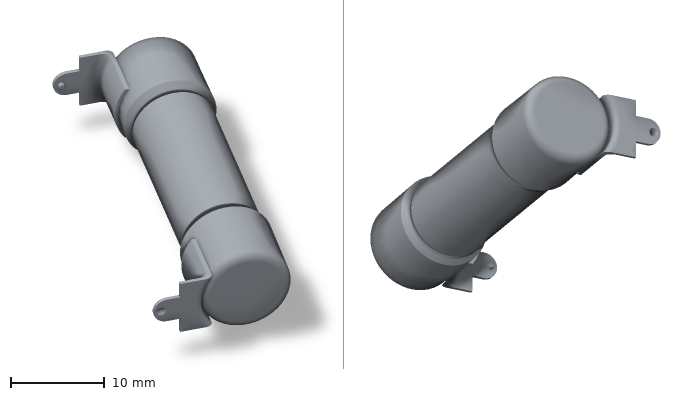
import cadquery as cq

overall_length = 39.32
overall_width = 15.7

sleeve_radius = 4.55
sleeve_half_length = 7.15
band_end = 9.55
neck_radius = 3.97
neck_fillet = 0.25

cap_inner_end = 10.1
cap_outer_end = 19.05
cap_large_radius = 10.25 / 2
cap_small_radius = 10.05 / 2
cap_inner_end_radius = 4.5
cap_chamfer_length = 0.75
cap_round = 0.95

sheet = 0.4
clip_outer_end = overall_length / 2
clip_inner_end = 12.9
clip_cradle_radius = 10.35 / 2
clip_half_width = 3.35
bend_convex_radius = 0.63
bend_concave_radius = 0.8
leg_shoulder = 7.63
tab_tip = overall_width - cap_large_radius
tab_radius = 1.5

dimple_distance = 9.7
dimple_mouth_radius = 0.5
dimple_floor_radius = 0.08
dimple_depth = 0.55
pip_base_radius = 0.4
pip_tip_radius = 0.25
pip_height = 0.35


def on_left(station):
    """X coordinate of a station on the -X half of the part."""
    return -station


def revolve_about_x(profile, angle=360):
    """Turn a closed XY profile about the X axis."""
    return profile.close().revolve(angle, (0, 0, 0), (1, 0, 0))


def make_sleeve():
    return (
        cq.Workplane("YZ")
        .workplane(offset=-sleeve_half_length)
        .circle(sleeve_radius)
        .extrude(2 * sleeve_half_length)
    )


def make_fitting():
    """Band flush with the sleeve, and a neck that meets it in a fillet and butts against the cap."""
    fillet_radius_end = neck_radius + neck_fillet
    profile = (
        cq.Workplane("XY")
        .moveTo(on_left(sleeve_half_length), 0)
        .lineTo(on_left(sleeve_half_length), sleeve_radius)
        .lineTo(on_left(band_end), sleeve_radius)
        .lineTo(on_left(band_end), fillet_radius_end)
        .radiusArc((on_left(band_end + neck_fillet), neck_radius), neck_fillet)
        .lineTo(on_left(cap_inner_end), neck_radius)
        .lineTo(on_left(cap_inner_end), 0)
    )
    return revolve_about_x(profile)


def make_cap():
    """Tapered cap with a chamfered inner rim and a rounded outer rim."""
    profile = (
        cq.Workplane("XY")
        .moveTo(on_left(cap_inner_end), 0)
        .lineTo(on_left(cap_inner_end), cap_inner_end_radius)
        .lineTo(on_left(cap_inner_end + cap_chamfer_length), cap_large_radius)
        .lineTo(on_left(cap_outer_end), cap_small_radius)
        .lineTo(on_left(cap_outer_end), 0)
    )
    return revolve_about_x(profile).faces("<X").edges().fillet(cap_round)


def make_bent_sheet():
    """Half-turn of the bent section: a cradle under the cap and a flange square to the axis."""
    leg_inner_face = clip_outer_end - sheet
    cradle_outer_radius = clip_cradle_radius + sheet
    flange_radius = tab_tip + tab_radius
    profile = (
        cq.Workplane("XY")
        .moveTo(on_left(clip_inner_end), -clip_cradle_radius)
        .lineTo(on_left(clip_outer_end - bend_convex_radius), -clip_cradle_radius)
        .radiusArc(
            (on_left(clip_outer_end), -clip_cradle_radius - bend_convex_radius), -bend_convex_radius
        )
        .lineTo(on_left(clip_outer_end), -flange_radius)
        .lineTo(on_left(leg_inner_face), -flange_radius)
        .lineTo(on_left(leg_inner_face), -cradle_outer_radius - bend_concave_radius)
        .radiusArc(
            (on_left(leg_inner_face - bend_concave_radius), -cradle_outer_radius), bend_concave_radius
        )
        .lineTo(on_left(clip_inner_end), -cradle_outer_radius)
    )
    half_turn = 180
    start_turn = -half_turn / 2
    return revolve_about_x(profile, half_turn).rotate((0, 0, 0), (1, 0, 0), start_turn)


def make_clip_outline():
    """Clip outline in the YZ plane: a wide leg, then a narrow tab with a round tip."""
    tab_centre = tab_tip - tab_radius
    return (
        cq.Workplane("YZ")
        .workplane(offset=on_left(clip_outer_end))
        .moveTo(0, clip_half_width)
        .lineTo(-leg_shoulder, clip_half_width)
        .lineTo(-leg_shoulder, tab_radius)
        .lineTo(-tab_centre, tab_radius)
        .threePointArc((-tab_tip, 0), (-tab_centre, -tab_radius))
        .lineTo(-leg_shoulder, -tab_radius)
        .lineTo(-leg_shoulder, -clip_half_width)
        .lineTo(0, -clip_half_width)
        .close()
        .extrude(clip_outer_end - clip_inner_end)
    )


def make_tab_cone(station, base_radius, tip_radius, height):
    """Cone on the dimple axis that narrows from the given station towards the middle."""
    base_centre = cq.Vector(on_left(station), -dimple_distance, 0)
    return cq.Workplane(cq.Solid.makeCone(base_radius, tip_radius, height, base_centre, cq.Vector(1, 0, 0)))


def make_clip():
    pip = make_tab_cone(clip_outer_end - sheet, pip_base_radius, pip_tip_radius, pip_height)
    dimple = make_tab_cone(clip_outer_end, dimple_mouth_radius, dimple_floor_radius, dimple_depth)
    return make_bent_sheet().intersect(make_clip_outline()).union(pip).cut(dimple)


bodies = [make_sleeve().val()]
for make_body in (make_fitting, make_cap, make_clip):
    left_body = make_body()
    bodies.append(left_body.val())
    bodies.append(left_body.mirror("YZ").val())

result = cq.Compound.makeCompound(bodies)